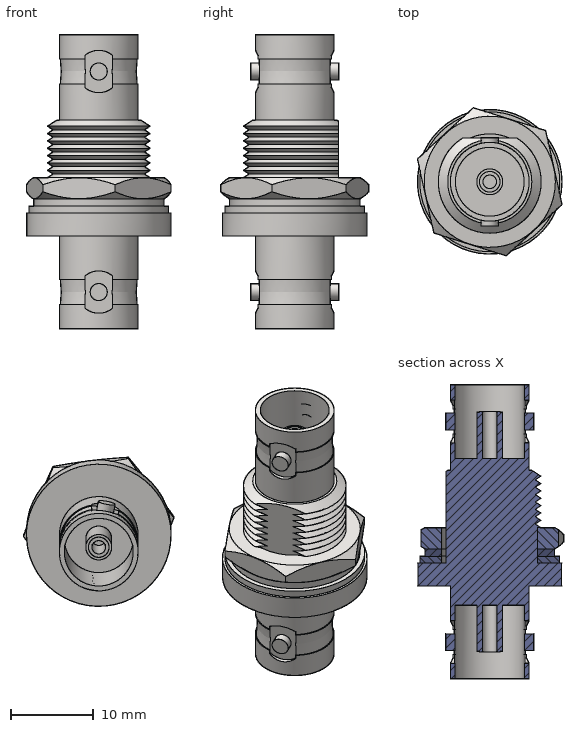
import cadquery as cq
import math

TOTAL_LENGTH = 35.53

BARREL_R = 4.75
GROOVE_EDGE_R = 4.65
GROOVE_MID_R = 4.55
PIN_TO_END = 4.45
GROOVE_HALF_WIDTH = 1.5

POCKET_R = 2.55
POCKET_WIDTH = 3.35
POCKET_FLOOR_Y = 4.25
PIN_R = 1.03
PIN_TIP_Y = 5.33

SOCKET_R = 4.15
SOCKET_DEPTH = 8.9
CONTACT_R = 1.55
CONTACT_RECESS = 3.3
CONTACT_TIP_R = 1.25
CONTACT_TIP_HEIGHT = 0.07
CONTACT_HOLE_R = 0.8

FLANGE_BOTTOM_Z = 11.2
FLANGE_TOP_Z = 14.0
FLANGE_R = 8.75
WASHER_R = 8.45
WASHER_TOP_Z = 14.8
LOCK_WASHER_R = 7.9
LOCK_WASHER_TOP_Z = 15.7
NUT_TOP_Z = 18.25
NUT_SIDES = 6
NUT_ACROSS_FLATS = 15.88
NUT_CORNER_ANGLE = 42.5
NUT_FACE_R = 7.92
NUT_CHAMFER_DROP = 0.85

NECK_R = 5.8
CREST_R = 6.2
ROOT_R = 5.55
PITCH = 0.9
CREST_COUNT = 8
THREAD_TOP_Z = 25.23
THREAD_TOP_R = 5.08
SHANK_FLAT_Y = 5.3

NUT_CORNER_R = NUT_ACROSS_FLATS / 2 / math.cos(math.pi / NUT_SIDES)
PIN_HEIGHTS = (PIN_TO_END, TOTAL_LENGTH - PIN_TO_END)


def revolve_profile(points):
    """Solid of revolution about Z from (radius, height) points."""
    return cq.Workplane("XZ").polyline(points).close().revolve(360, (0, 0), (0, 1))


def cylinder(radius, bottom, top):
    return cq.Workplane("XY").workplane(offset=bottom).circle(radius).extrude(top - bottom)


def make_barrel():
    """Plain tube over the whole length, with a V groove around each pin level."""
    barrel = cylinder(BARREL_R, 0, TOTAL_LENGTH)
    for pin_z in PIN_HEIGHTS:
        groove = revolve_profile([
            (FLANGE_R, pin_z - GROOVE_HALF_WIDTH),
            (GROOVE_EDGE_R, pin_z - GROOVE_HALF_WIDTH),
            (GROOVE_MID_R, pin_z),
            (GROOVE_EDGE_R, pin_z + GROOVE_HALF_WIDTH),
            (FLANGE_R, pin_z + GROOVE_HALF_WIDTH),
        ])
        barrel = barrel.cut(groove)
    return barrel


def make_shank():
    """Neck and ridged thread, with a flat on the +Y side."""
    points = [(0, FLANGE_TOP_Z), (NECK_R, FLANGE_TOP_Z), (NECK_R, NUT_TOP_Z)]
    for index in range(CREST_COUNT):
        crest_z = NUT_TOP_Z + index * PITCH
        points.append((CREST_R, crest_z))
        if index < CREST_COUNT - 1:
            points.append((ROOT_R, crest_z + PITCH / 2))
    points += [(THREAD_TOP_R, THREAD_TOP_Z), (0, THREAD_TOP_Z)]
    beyond_flat = cq.Workplane("XY").box(
        2 * CREST_R, CREST_R, TOTAL_LENGTH, centered=(True, False, False)
    ).translate((0, SHANK_FLAT_Y, 0))
    return revolve_profile(points).cut(beyond_flat)


def pin_axis_cylinder(radius, pin_z, start_y, end_y):
    """Cylinder along Y at a pin level."""
    plane = cq.Plane(origin=(0, start_y, pin_z), xDir=(1, 0, 0), normal=(0, 1, 0))
    return cq.Workplane(plane).circle(radius).extrude(end_y - start_y)


def make_pocket(pin_z, side):
    """Material removed for the flat around one pin; side is -1 or +1 along Y."""
    disc = pin_axis_cylinder(POCKET_R, pin_z, side * POCKET_FLOOR_Y, side * PIN_TIP_Y)
    band = cq.Workplane("XY").box(POCKET_WIDTH, 2 * PIN_TIP_Y, 2 * POCKET_R).translate((0, 0, pin_z))
    return disc.intersect(band)


def make_socket():
    """Space removed at the lower end, leaving the contact and its blind hole."""
    tip_z = CONTACT_RECESS - CONTACT_TIP_HEIGHT
    return revolve_profile([
        (0, 0),
        (SOCKET_R, 0),
        (SOCKET_R, SOCKET_DEPTH),
        (CONTACT_R, SOCKET_DEPTH),
        (CONTACT_R, CONTACT_RECESS),
        (CONTACT_TIP_R, CONTACT_RECESS),
        (CONTACT_TIP_R, tip_z),
        (CONTACT_HOLE_R, tip_z),
        (CONTACT_HOLE_R, SOCKET_DEPTH),
        (0, SOCKET_DEPTH),
    ])


def make_connector():
    connector = make_barrel()
    connector = connector.union(cylinder(FLANGE_R, FLANGE_BOTTOM_Z, FLANGE_TOP_Z))
    connector = connector.union(make_shank())
    for pin_z in PIN_HEIGHTS:
        for side in (-1, 1):
            connector = connector.cut(make_pocket(pin_z, side))
            pin = pin_axis_cylinder(PIN_R, pin_z, side * SOCKET_R, side * PIN_TIP_Y)
            connector = connector.union(pin)
    lower_socket = make_socket()
    upper_socket = lower_socket.mirror("XY", (0, 0, TOTAL_LENGTH / 2))
    return connector.cut(lower_socket).cut(upper_socket)


def make_ring(outer_r, bottom, top):
    """Flat ring that fits around the neck."""
    return cylinder(outer_r, bottom, top).cut(cylinder(NECK_R, bottom, top))


def make_nut():
    """Hexagon nut with both faces chamfered down to a circle."""
    height = NUT_TOP_Z - LOCK_WASHER_TOP_Z
    hexagon = (
        cq.Workplane("XY").workplane(offset=LOCK_WASHER_TOP_Z)
        .polygon(NUT_SIDES, 2 * NUT_CORNER_R).extrude(height)
        .rotate((0, 0, 0), (0, 0, 1), NUT_CORNER_ANGLE)
    )
    chamfer_limit = revolve_profile([
        (0, LOCK_WASHER_TOP_Z),
        (NUT_FACE_R, LOCK_WASHER_TOP_Z),
        (NUT_CORNER_R, LOCK_WASHER_TOP_Z + NUT_CHAMFER_DROP),
        (NUT_CORNER_R, NUT_TOP_Z - NUT_CHAMFER_DROP),
        (NUT_FACE_R, NUT_TOP_Z),
        (0, NUT_TOP_Z),
    ])
    bore = cylinder(NECK_R, LOCK_WASHER_TOP_Z, NUT_TOP_Z)
    return hexagon.intersect(chamfer_limit).cut(bore)


connector = make_connector()
washer = make_ring(WASHER_R, FLANGE_TOP_Z, WASHER_TOP_Z)
lock_washer = make_ring(LOCK_WASHER_R, WASHER_TOP_Z, LOCK_WASHER_TOP_Z)
nut = make_nut()

result = cq.Compound.makeCompound([connector.val(), washer.val(), lock_washer.val(), nut.val()])